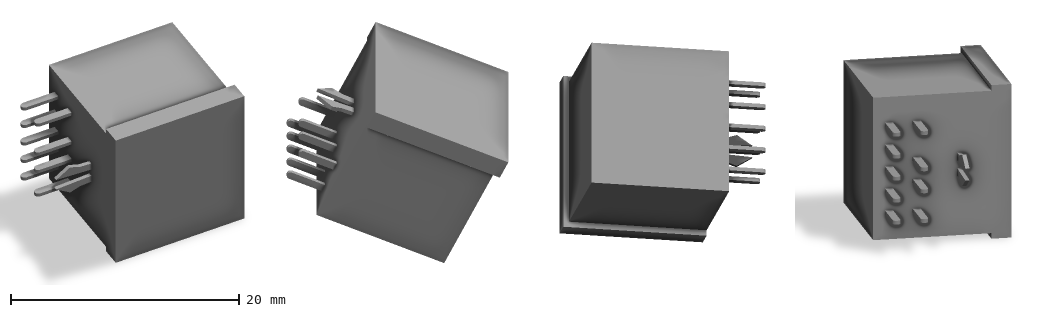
import cadquery as cq

total_length = 12.4
total_depth = 16.3
flange_length = 1.8
flange_step = 0.5
flange_depth = 12.8
flange_height = 14.0
body_length = total_length - flange_length
body_depth = flange_depth - flange_step
body_height = flange_height - 2 * flange_step

pin_reach = total_depth - flange_depth
pin_width = 0.7
pin_thickness = 0.35
pin_pitch = 2.0
outer_column_x = 1.4
column_spacing = 2.5
inner_column_x = outer_column_x + column_spacing
inner_pair_shift = 0.7
outer_column_z = [row * pin_pitch for row in range(-2, 3)]
inner_column_z = [-2 * pin_pitch, inner_pair_shift - pin_pitch, inner_pair_shift, 2 * pin_pitch]

lock_x = 7.71
lock_thickness = 0.37
root_inner_z = 0.36
root_outer_z = 1.05
shank_reach = 1.14
shank_outer_z = 1.11
barb_reach = 2.12
barb_z = 1.43
tip_z = 0.54


def block(length, depth, height):
    """Block standing on the pin face, starting at X = 0 and centred on Z."""
    return cq.Workplane("XY").box(length, depth, height, centered=(False, False, True))


def pin(x, z):
    """Flat pin with a fully rounded end."""
    radius = pin_width / 2
    return (
        cq.Workplane("XY", origin=(x, 0, z - pin_thickness / 2))
        .moveTo(-radius, 0)
        .lineTo(-radius, radius - pin_reach)
        .threePointArc((0, -pin_reach), (radius, radius - pin_reach))
        .lineTo(radius, 0)
        .close()
        .extrude(pin_thickness)
    )


def prong(side):
    """Barbed prong above (side = 1) or below (side = -1) the middle plane."""
    return (
        cq.Workplane("YZ", origin=(lock_x - lock_thickness / 2, 0, 0))
        .moveTo(0, side * root_inner_z)
        .lineTo(0, side * root_outer_z)
        .lineTo(-shank_reach, side * shank_outer_z)
        .lineTo(-barb_reach, side * barb_z)
        .lineTo(-pin_reach, side * tip_z)
        .close()
        .extrude(lock_thickness)
    )


flange = block(flange_length, flange_depth, flange_height).translate((body_length, 0, 0))
result = block(body_length, body_depth, body_height).union(flange)

for column_x, column_z in ((outer_column_x, outer_column_z), (inner_column_x, inner_column_z)):
    for z in column_z:
        result = result.union(pin(column_x, z))

for side in (1, -1):
    result = result.union(prong(side))